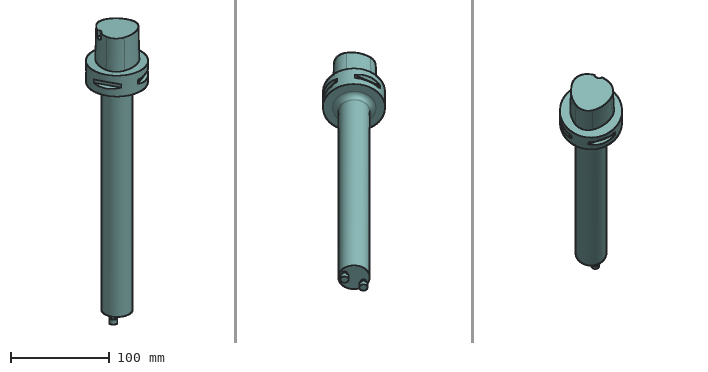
import cadquery as cq
import math

total_length = 336.0
shank_length = 38.0
flange_height = 24.2
screw_neck_length = 4.0
screw_head_length = 5.7
bar_length = total_length - shank_length - flange_height - screw_neck_length - screw_head_length

flange_diameter = 63.0
bar_diameter = 32.0
bar_fillet = 6.0

shank_flat_reach = 21.0
shank_lobe_reach = 23.5
shank_flat_radius = 32.0
shank_taper = math.degrees(math.atan(1 / 40))

key_diameter = 9.7
key_height = 8.7
key_depth = 2.52
key_floor_drop = 2.2

groove_count = 4
groove_floor_distance = 28.0
groove_floor_height = 3.7
groove_mouth_height = 7.7

screw_offset = 7.7
screw_neck_diameter = 5.0
screw_head_diameter = 8.5


def polar(radius, degrees):
    angle = math.radians(degrees)
    return (radius * math.cos(angle), radius * math.sin(angle))


def make_shank():
    """Six tangent arcs, three flat sides and three lobes, extruded with taper."""
    flat_center = shank_flat_radius - shank_flat_reach
    radius_gap = shank_flat_radius - shank_lobe_reach
    lobe_center = (flat_center**2 - radius_gap**2) / (2 * radius_gap - flat_center)

    joint_angle = math.atan2(lobe_center * math.sin(math.pi / 3), flat_center + lobe_center / 2)
    joint_across = shank_flat_radius * math.sin(joint_angle)
    joint_along = shank_flat_radius * math.cos(joint_angle) - flat_center
    joint_radius = math.hypot(joint_across, joint_along)
    joint_half_angle = math.degrees(math.atan2(joint_across, joint_along))

    first_flat = -90
    outline = cq.Workplane("XY").moveTo(*polar(joint_radius, first_flat - joint_half_angle))
    for flat in (first_flat, first_flat + 120, first_flat + 240):
        next_flat = flat + 120
        outline = outline.threePointArc(
            polar(shank_flat_reach, flat), polar(joint_radius, flat + joint_half_angle)
        )
        outline = outline.threePointArc(
            polar(shank_lobe_reach, flat + 60), polar(joint_radius, next_flat - joint_half_angle)
        )
    return outline.close().extrude(shank_length, taper=shank_taper)


def make_keyway():
    """Drilled pocket with a conical floor, its upright axis just outside the flat."""
    top_flat_reach = shank_flat_reach - shank_length * math.tan(math.radians(shank_taper))
    key_radius = key_diameter / 2
    cone_base = shank_length - key_height + key_floor_drop
    cone_tip = cone_base - key_radius * key_floor_drop / key_depth
    key_axis_reach = top_flat_reach - key_depth + key_radius
    return (
        cq.Workplane("XZ")
        .moveTo(0, cone_tip)
        .lineTo(key_radius, cone_base)
        .lineTo(key_radius, shank_length)
        .lineTo(0, shank_length)
        .close()
        .revolve(360, (0, 0, 0), (0, 1, 0))
        .translate((0, -key_axis_reach, 0))
    )


def make_flange_and_bar():
    """Revolved flange and bar, joined by a concave fillet."""
    bar_radius = bar_diameter / 2
    bar_end = -flange_height - bar_length
    fillet_mid = bar_fillet * (1 - math.sqrt(0.5))
    return (
        cq.Workplane("XZ")
        .lineTo(flange_diameter / 2, 0)
        .lineTo(flange_diameter / 2, -flange_height)
        .lineTo(bar_radius + bar_fillet, -flange_height)
        .threePointArc(
            (bar_radius + fillet_mid, -flange_height - fillet_mid),
            (bar_radius, -flange_height - bar_fillet),
        )
        .lineTo(bar_radius, bar_end)
        .lineTo(0, bar_end)
        .close()
        .revolve(360, (0, 0, 0), (0, 1, 0))
    )


def make_groove(direction):
    """Straight groove with a flat floor and sloping walls, cut across the flange rim."""
    rim = flange_diameter / 2
    middle = -flange_height / 2
    floor_half = groove_floor_height / 2
    mouth_half = groove_mouth_height / 2
    return (
        cq.Workplane("XZ")
        .moveTo(groove_floor_distance, middle - floor_half)
        .lineTo(rim, middle - mouth_half)
        .lineTo(rim, middle + mouth_half)
        .lineTo(groove_floor_distance, middle + floor_half)
        .close()
        .extrude(rim, both=True)
        .rotate((0, 0, 0), (0, 0, 1), direction)
    )


def make_screw(x, y):
    """Narrow neck below the bar end, carrying a wider cylindrical head."""
    bar_end = -flange_height - bar_length
    neck = (
        cq.Workplane("XY", origin=(x, y, bar_end))
        .circle(screw_neck_diameter / 2)
        .extrude(-screw_neck_length)
    )
    head = (
        cq.Workplane("XY", origin=(x, y, bar_end - screw_neck_length))
        .circle(screw_head_diameter / 2)
        .extrude(-screw_head_length)
    )
    return neck.union(head)


result = make_flange_and_bar().union(make_shank()).cut(make_keyway())

for index in range(groove_count):
    result = result.cut(make_groove((index + 0.5) * 360 / groove_count))

for side in (-1, 1):
    result = result.union(make_screw(side * screw_offset, -side * screw_offset))